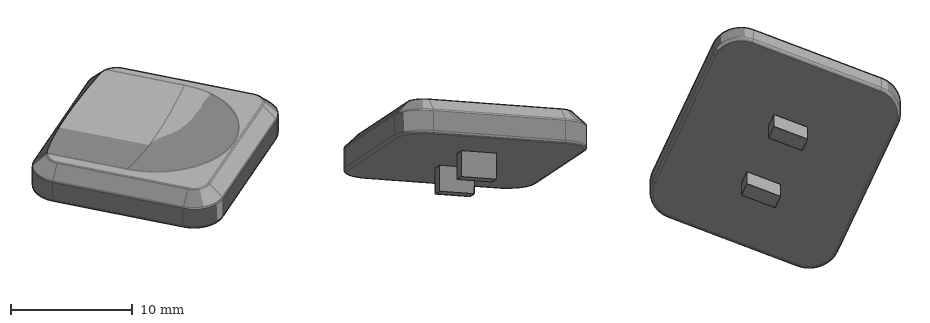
import cadquery as cq

width = 16.5
length = 17.77
total_height = 5.35
body_height = 3.16
corner_radius = 2.54

centre_y = 0.15

chamfer_inset = 1.2
chamfer_height = 1.15
bottom_fillet = 0.25
shoulder_fillet = 0.2
top_fillet = 0.2

scoop_half_width = 6.82
scoop_depth = 0.84
rim_fillet = 0.2
scoop_radius = (scoop_half_width**2 + scoop_depth**2) / (2 * scoop_depth)

selector_margin = 0.02

leg_width = 3.0
leg_thickness = 1.14
leg_spacing = 5.7
leg_height = total_height - body_height


def make_body():
    """Rounded slab with a bevelled top rim and softened edges."""
    slab = cq.Workplane("XY").rect(width, length).extrude(body_height)
    slab = slab.edges("|Z").fillet(corner_radius)
    slab = slab.faces(">Z").edges().chamfer(chamfer_height, chamfer_inset)
    shoulder_height = body_height - chamfer_height
    shoulder = cq.selectors.BoxSelector(
        (-width, -length, shoulder_height - selector_margin),
        (width, length, shoulder_height + selector_margin),
    )
    slab = slab.edges(shoulder).fillet(shoulder_fillet)
    slab = slab.faces(">Z").edges().fillet(top_fillet)
    return slab.faces("<Z").edges().fillet(bottom_fillet)


def make_scoop():
    """Cutter for the trough, open toward -X and closed by a bowl at +X."""
    axis_height = body_height - scoop_depth + scoop_radius
    trough = (
        cq.Workplane("YZ")
        .center(centre_y, axis_height)
        .circle(scoop_radius)
        .extrude(-2 * width)
    )
    bowl = cq.Workplane("XY").sphere(scoop_radius).translate((0, centre_y, axis_height))
    return trough.union(bowl)


def make_dished_block():
    """Oversized block carrying the scoop, with the flat-top rim of the scoop rounded."""
    block = cq.Workplane("XY").rect(2 * width, 2 * length).extrude(body_height)
    block = block.cut(make_scoop())
    rim_zone = cq.selectors.BoxSelector(
        (-width, -length / 2, body_height - selector_margin),
        (width / 2, length / 2, body_height + selector_margin),
    )
    return block.edges(rim_zone).fillet(rim_fillet)


def make_legs():
    """Pair of rectangular legs under the body."""
    return (
        cq.Workplane("XY")
        .pushPoints([(0, centre_y - leg_spacing / 2), (0, centre_y + leg_spacing / 2)])
        .rect(leg_width, leg_thickness)
        .extrude(-leg_height)
    )


result = make_body().intersect(make_dished_block()).union(make_legs())